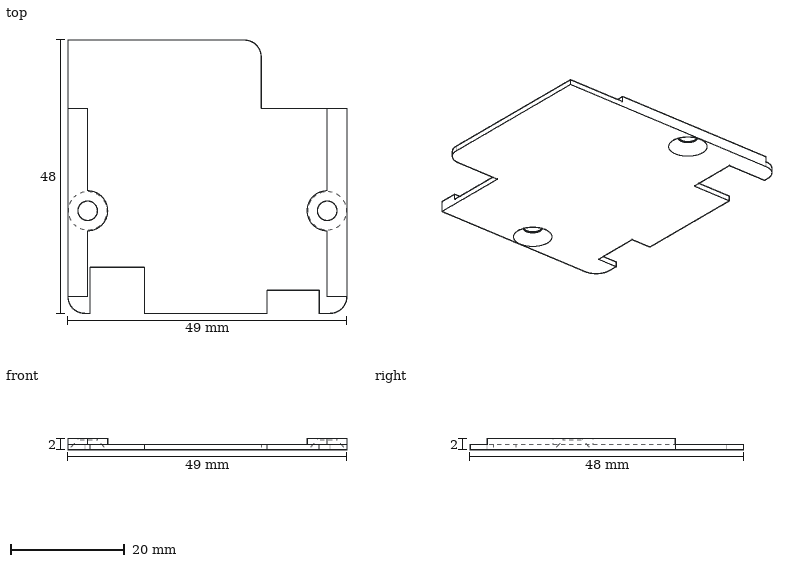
import cadquery as cq

length_x = 49.0
length_y = 48.0
plate_thickness = 1.0
total_height = 2.0
corner_radius = 3.0

tab_width = 33.95
shoulder_y = 36.0

left_notch = (3.9, 13.45, 8.1)
right_notch = (35.0, 44.1, 4.05)

rail_width = 3.5
rail_front_y = corner_radius
rail_length = shoulder_y - rail_front_y

hole_diameter = 3.4
boss_radius = 3.55
hole_y = 18.05
hole_centres = [(rail_width, hole_y), (length_x - rail_width, hole_y)]

countersink_diameter = 6.75
bore_depth = 0.25


def box(x, y, width, depth, height):
    """Box standing on Z = 0 with its front left corner at (x, y)."""
    return cq.Workplane("XY").box(width, depth, height, centered=False).translate((x, y, 0))


def make_plate():
    outline = (
        cq.Workplane("XY")
        .polyline([
            (0, 0),
            (length_x, 0),
            (length_x, shoulder_y),
            (tab_width, shoulder_y),
            (tab_width, length_y),
            (0, length_y),
        ])
        .close()
        .extrude(plate_thickness)
    )
    plate = outline.edges("|Z and <Y").fillet(corner_radius)
    tab_corner = (tab_width, length_y, plate_thickness / 2)
    plate = plate.edges(cq.selectors.NearestToPointSelector(tab_corner)).fillet(corner_radius)
    for left, right, back in (left_notch, right_notch):
        plate = plate.cut(box(left, 0, right - left, back, plate_thickness))
    return plate


def make_rails():
    rails = cq.Workplane("XY").pushPoints(hole_centres).circle(boss_radius).extrude(total_height)
    rails = rails.intersect(box(0, 0, length_x, length_y, total_height))
    for rail_x in (0, length_x - rail_width):
        rails = rails.union(box(rail_x, rail_front_y, rail_width, rail_length, total_height))
    return rails


def make_hole():
    """Cutter for one hole: a cone opening downwards below a short straight bore."""
    hole_radius = hole_diameter / 2
    bore = cq.Workplane("XY").circle(hole_radius).extrude(total_height)
    cone = (
        cq.Workplane("XY")
        .circle(countersink_diameter / 2)
        .workplane(offset=total_height - bore_depth)
        .circle(hole_radius)
        .loft()
    )
    return bore.union(cone)


result = make_plate().union(make_rails())
for x, y in hole_centres:
    result = result.cut(make_hole().translate((x, y, 0)))